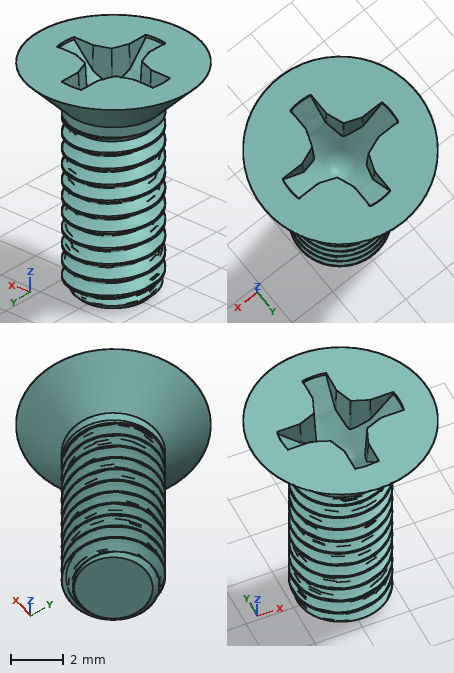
import cadquery as cq
import math

length = 10.0
head_radius = 3.75
shank_radius = 2.0
head_height = head_radius - shank_radius
collar_height = 0.44
collar_bottom = length - head_height - collar_height

pitch = 0.7
root_radius = 1.53
tip_radius = 1.51
crest_flat = pitch / 8
flank_slope = math.tan(math.radians(30))
first_crest = 0.55
crest_clearance = 0.002
crest_radius = shank_radius - crest_clearance
thread_depth = crest_radius - root_radius
flank_steps = 4
collar_overlap = 0.1

recess_radius = 2.5
arm_half_width = 0.5
arm_root = 1.48
inner_corner = 0.77
recess_draft = 3.0
recess_rim = 0.1
recess_depth = recess_rim + recess_radius


def revolve_profile(points):
    """Turn a (radius, height) outline about the Z axis."""
    return cq.Workplane("XZ").polyline(points).close().revolve(360, (0, 0), (0, 1))


def make_head():
    """Countersunk head and collar, tapering at 45 degrees below the collar into the thread root."""
    return revolve_profile([
        (0, collar_bottom - shank_radius),
        (shank_radius, collar_bottom),
        (shank_radius, length - head_height),
        (head_radius, length),
        (0, length),
    ])


def make_thread():
    """Threaded rod twisted up from its cross-section, with a chamfered tip."""
    crest_half_angle = math.pi * crest_flat / pitch
    flank_angle = 2 * math.pi * thread_depth * flank_slope / pitch

    def polar(radius, angle):
        return (radius * math.cos(angle), radius * math.sin(angle))

    def rising_flank(t):
        return polar(root_radius + thread_depth * t, flank_angle * (t - 1) - crest_half_angle)

    def falling_flank(t):
        return polar(crest_radius - thread_depth * t, flank_angle * t + crest_half_angle)

    def flank_points(flank):
        return [flank(step / flank_steps) for step in range(flank_steps + 1)]

    rise = flank_points(rising_flank)
    fall = flank_points(falling_flank)
    rod_height = collar_bottom + collar_overlap
    rod = (
        cq.Workplane("XY")
        .moveTo(*rise[0])
        .spline(rise[1:], includeCurrent=True)
        .threePointArc((crest_radius, 0), fall[0])
        .spline(fall[1:], includeCurrent=True)
        .threePointArc((-root_radius, 0), rise[0])
        .close()
        .twistExtrude(rod_height, 360 * rod_height / pitch)
        .rotate((0, 0, 0), (0, 0, 1), -360 * first_crest / pitch)
    )
    tip_cone = revolve_profile([
        (0, 0),
        (tip_radius, 0),
        (tip_radius + rod_height, rod_height),
        (0, rod_height),
    ])
    return rod.intersect(tip_cone)


def make_recess():
    """Drafted four-armed cross ending on a conical floor."""
    arm_end = math.sqrt(recess_radius**2 - arm_half_width**2)
    outline = cq.Workplane("XY").workplane(offset=length).moveTo(arm_end, -arm_half_width)
    for quarter in range(4):
        angle = math.radians(90 * quarter)

        def turned(x, y):
            return (x * math.cos(angle) - y * math.sin(angle), x * math.sin(angle) + y * math.cos(angle))

        outline = (
            outline.threePointArc(turned(recess_radius, 0), turned(arm_end, arm_half_width))
            .lineTo(*turned(arm_root, arm_half_width))
            .lineTo(*turned(inner_corner, inner_corner))
            .lineTo(*turned(arm_half_width, arm_root))
            .lineTo(*turned(arm_half_width, arm_end))
        )
    cross = outline.close().extrude(-recess_depth, taper=recess_draft)
    floor_cone = revolve_profile([
        (0, length - recess_depth),
        (recess_radius, length - recess_rim),
        (recess_radius, length),
        (0, length),
    ])
    return cross.intersect(floor_cone)


result = make_head().union(make_thread()).cut(make_recess())